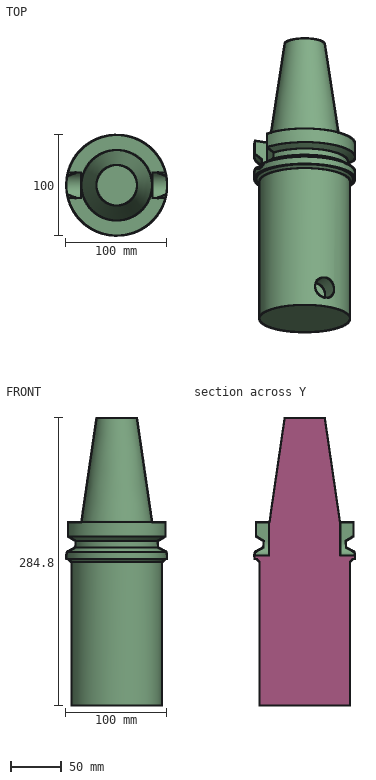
import cadquery as cq


GAUGE_DIAMETER = 69.85
TAPER_LENGTH = 101.8
TAPER_RATIO = 7 / 24
SMALL_END_DIAMETER = GAUGE_DIAMETER - TAPER_LENGTH * TAPER_RATIO

BODY_DIAMETER = 90.0
OVERALL_LENGTH = 284.8
BODY_BOTTOM = TAPER_LENGTH - OVERALL_LENGTH

FLANGE_DIAMETER = 100.0
FLANGE_TOP = -1.5
UPPER_RIM_HEIGHT = 14.1
GROOVE_DIAMETER = 85.6
GROOVE_FLOOR_HEIGHT = 6.4
GROOVE_WALL_HEIGHT = 4.4
LOWER_RIM_HEIGHT = 7.2
UNDERSIDE_RIM_DIAMETER = 96.0
UNDERSIDE_CONE_HEIGHT = (UNDERSIDE_RIM_DIAMETER - BODY_DIAMETER) / 2

KEYWAY_WIDTH = 25.7
KEYWAY_DEPTH = 32.7
KEYWAY_FACE_OFFSET = 35.4

SIDE_HOLE_DIAMETER = 21.0
SIDE_HOLE_DEPTH = 21.0
SIDE_HOLE_HEIGHT = 19.5


def revolved_blank():
    """Shank, flange and body as one revolved profile."""
    upper_rim_bottom = FLANGE_TOP - UPPER_RIM_HEIGHT
    groove_top = upper_rim_bottom - GROOVE_WALL_HEIGHT
    groove_bottom = groove_top - GROOVE_FLOOR_HEIGHT
    lower_rim_top = groove_bottom - GROOVE_WALL_HEIGHT
    lower_rim_bottom = lower_rim_top - LOWER_RIM_HEIGHT
    cone_bottom = lower_rim_bottom - UNDERSIDE_CONE_HEIGHT

    diameters_and_heights = [
        (0, TAPER_LENGTH),
        (SMALL_END_DIAMETER, TAPER_LENGTH),
        (GAUGE_DIAMETER, 0),
        (GAUGE_DIAMETER, FLANGE_TOP),
        (FLANGE_DIAMETER, FLANGE_TOP),
        (FLANGE_DIAMETER, upper_rim_bottom),
        (GROOVE_DIAMETER, groove_top),
        (GROOVE_DIAMETER, groove_bottom),
        (FLANGE_DIAMETER, lower_rim_top),
        (FLANGE_DIAMETER, lower_rim_bottom),
        (UNDERSIDE_RIM_DIAMETER, lower_rim_bottom),
        (BODY_DIAMETER, cone_bottom),
        (BODY_DIAMETER, BODY_BOTTOM),
        (0, BODY_BOTTOM),
    ]
    profile = [(diameter / 2, height) for diameter, height in diameters_and_heights]
    return cq.Workplane("XZ").polyline(profile).close().revolve(360, (0, 0), (0, 1))


def keyway_cutter(side):
    """Round-ended keyway, cut outward along X on the given side (+1 or -1)."""
    half_width = KEYWAY_WIDTH / 2
    keyway_bottom = FLANGE_TOP - KEYWAY_DEPTH
    arc_center = keyway_bottom + half_width
    return (
        cq.Workplane("YZ", origin=(side * KEYWAY_FACE_OFFSET, 0, 0))
        .moveTo(-half_width, FLANGE_TOP)
        .lineTo(-half_width, arc_center)
        .threePointArc((0, keyway_bottom), (half_width, arc_center))
        .lineTo(half_width, FLANGE_TOP)
        .close()
        .extrude(side * FLANGE_DIAMETER / 2)
    )


def side_hole_cutter():
    """Blind radial hole entering the body from +Y."""
    hole_axis_height = BODY_BOTTOM + SIDE_HOLE_HEIGHT
    return (
        cq.Workplane("XZ", origin=(0, BODY_DIAMETER / 2, hole_axis_height))
        .circle(SIDE_HOLE_DIAMETER / 2)
        .extrude(SIDE_HOLE_DEPTH)
    )


result = revolved_blank()
for keyway_side in (1, -1):
    result = result.cut(keyway_cutter(keyway_side))
result = result.cut(side_hole_cutter())